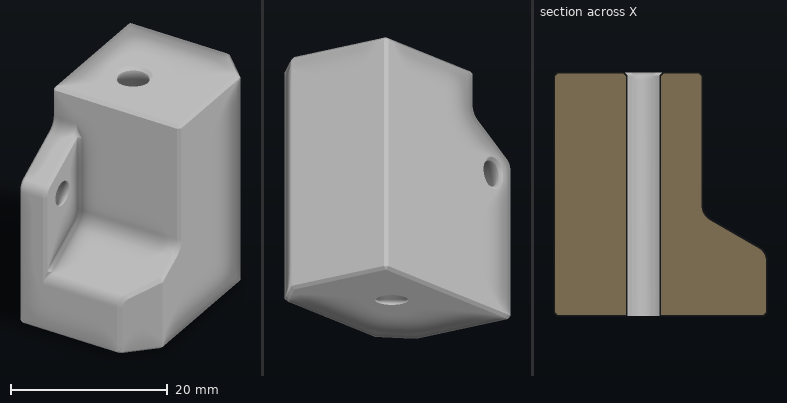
import cadquery as cq
import math

width = 19.0
depth = 27.15
height = 31.0
edge_chamfer = 0.4
corner_cut = 4.0

back_wall_y = 8.2
slope_angle = math.radians(30)
body_slope_z = 8.15
body_bend_radius = 2.0
plate_slope_z = 20.85
plate_bend_radius = 1.85
plate_thickness = 4.0

top_hole_diameter = 4.2
top_hole_x = 7.5
top_hole_y = 15.75
side_hole_diameter = 3.4
side_hole_y = 4.1
side_hole_z = 18.5


def side_outline(slope_z, bend_radius, start_x=0.0):
    """Side outline in a YZ plane: front face, rounded 30 degree slope, back wall."""
    tangent = bend_radius * math.tan((math.pi / 2 - slope_angle) / 2)
    along_y = tangent * math.cos(slope_angle)
    along_z = tangent * math.sin(slope_angle)
    step_z = slope_z + back_wall_y * math.tan(slope_angle)
    return (
        cq.Workplane("YZ", origin=(start_x, 0, 0))
        .moveTo(0, 0)
        .lineTo(0, slope_z - tangent)
        .tangentArcPoint((along_y, slope_z + along_z), relative=False)
        .lineTo(back_wall_y - along_y, step_z - along_z)
        .tangentArcPoint((back_wall_y, step_z + tangent), relative=False)
        .lineTo(back_wall_y, height)
        .lineTo(depth, height)
        .lineTo(depth, 0)
        .close()
    )


def make_body():
    """Full-width body with the lower slope and two cut vertical corners."""
    body = side_outline(body_slope_z, body_bend_radius).extrude(width)
    for corner_y, inward in ((0, 1), (depth, -1)):
        corner = (
            cq.Workplane("XY")
            .moveTo(width, corner_y)
            .lineTo(width - corner_cut, corner_y)
            .lineTo(width, corner_y + inward * corner_cut)
            .close()
            .extrude(height)
        )
        body = body.cut(corner)

    end_edges = body.faces("<X or >Z or <Z").edges().vals()
    right_edges = [
        edge
        for edge in body.edges().vals()
        if edge.Center().x > width - corner_cut - edge_chamfer
        and edge.Center().y < back_wall_y + edge_chamfer
        and 0 < edge.Center().z < height
        and abs(edge.Center().y - corner_cut) > edge_chamfer / 10
    ]
    edges = end_edges + [edge for edge in right_edges if not any(edge.isSame(e) for e in end_edges)]
    return body.newObject(edges).chamfer(edge_chamfer)


def make_plate():
    """Taller plate on the left side, bevelled around both faces."""
    plate = side_outline(plate_slope_z, plate_bend_radius).extrude(plate_thickness)
    return plate.faces("<X or >X or >Z or <Z").edges().chamfer(edge_chamfer)


def make_inner_bevel():
    """Bevel filling the inside corner between the plate and the body surfaces."""
    bevel = side_outline(body_slope_z, body_bend_radius, plate_thickness + edge_chamfer)
    bevel = bevel.extrude(-edge_chamfer, taper=-45)
    limit = side_outline(plate_slope_z, plate_bend_radius, plate_thickness - edge_chamfer)
    limit = limit.extrude(2 * edge_chamfer, taper=45)
    return bevel.intersect(limit)


def countersunk_cutter(plane, origin, diameter, length):
    """Hole cutter with a conical mouth, starting on the entry face."""
    mouth_diameter = diameter + 2 * edge_chamfer
    bore = cq.Workplane(plane, origin=origin).circle(diameter / 2).extrude(length)
    direction = math.copysign(1, length)
    mouth = (
        cq.Workplane(plane, origin=origin)
        .circle(mouth_diameter / 2)
        .extrude(direction * edge_chamfer, taper=45)
    )
    return bore.union(mouth)


top_hole = countersunk_cutter("XY", (top_hole_x, top_hole_y, height), top_hole_diameter, -height)
side_hole = countersunk_cutter("YZ", (0, side_hole_y, side_hole_z), side_hole_diameter, plate_thickness)

result = make_body().union(make_plate()).union(make_inner_bevel()).cut(top_hole).cut(side_hole)